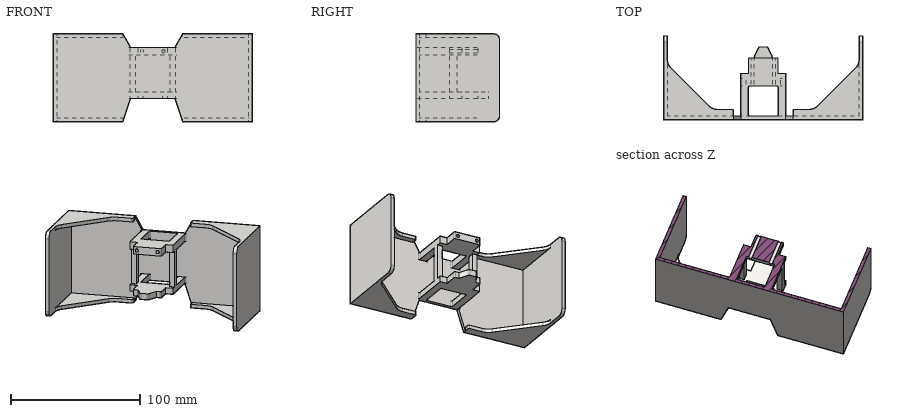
import cadquery as cq

WIDTH = 154.3
DEPTH = 65.0
HEIGHT = 68.4
HALF_WIDTH = WIDTH / 2
TOP = HEIGHT / 2
BOTTOM = -TOP

WALL = 3.0
PANEL_CORNER_RADIUS = 5.0

NOTCH_OUTER_HALF = 23.1
NOTCH_INNER_HALF = 17.1
TOP_NOTCH_DEPTH = 10.6
BOTTOM_NOTCH_DEPTH = 18.0
WAIST_TOP = TOP - TOP_NOTCH_DEPTH
WAIST_BOTTOM = BOTTOM + BOTTOM_NOTCH_DEPTH

GUSSET_THICKNESS = 3.0
GUSSET_LEDGE = 8.0
GUSSET_LEG = 45.8
BEND_RADIUS = 10.0

UPPER_FRAME_THICKNESS = 6.0
LOWER_FRAME_THICKNESS = 5.0
FRAME_HALF_WIDTH = 17.5
FRAME_DEPTH = 36.0
WINDOW_WIDTH = 22.8
WINDOW_DEPTH = 23.1
WINDOW_FRONT = WALL
WINDOW_BACK = WINDOW_FRONT + WINDOW_DEPTH
TONGUE_HALF_WIDTH = WINDOW_WIDTH / 2
TONGUE_END = 48.0
SMALL_RADIUS = 1.0

POST_WIDTH = 4.0
POST_DEPTH = 5.9

TIP_BASE_HALF = 7.4
TIP_END_HALF = 3.4
TIP_END = 56.5
TIP_RADIUS = 1.5

HOLE_DIAMETER = 2.5
HOLE_OFFSET = 8.3


def box(x0, x1, y0, y1, z0, z1):
    """Axis-aligned block between two opposite corners."""
    return cq.Workplane("XY").box(x1 - x0, y1 - y0, z1 - z0, centered=False).translate((x0, y0, z0))


def mirrored(solid):
    """A left-hand feature together with its right-hand twin."""
    return solid.union(solid.mirror("YZ"))


def front_wall():
    right_half = [
        (NOTCH_INNER_HALF, WAIST_TOP),
        (NOTCH_OUTER_HALF, TOP),
        (HALF_WIDTH, TOP),
        (HALF_WIDTH, BOTTOM),
        (NOTCH_OUTER_HALF, BOTTOM),
        (NOTCH_INNER_HALF, WAIST_BOTTOM),
    ]
    left_half = [(-x, z) for x, z in reversed(right_half)]
    return cq.Workplane("XZ").polyline(right_half + left_half).close().extrude(-WALL)


def side_panel():
    panel = box(-HALF_WIDTH, WALL - HALF_WIDTH, 0, DEPTH, BOTTOM, TOP)
    return panel.edges("|X and >Y").fillet(PANEL_CORNER_RADIUS)


def gusset(z_base):
    """Corner plate whose free edge runs at 45 degrees between two rounded bends."""
    side_bend = (WALL, GUSSET_LEG - WALL)
    side_run_end = side_bend[1] + BEND_RADIUS
    ledge_bend = (GUSSET_LEG - GUSSET_LEDGE, GUSSET_LEDGE)
    ledge_end = (HALF_WIDTH - NOTCH_OUTER_HALF, GUSSET_LEDGE)
    outline = [
        (0, 0),
        (0, side_run_end),
        (WALL, side_run_end),
        side_bend,
        ledge_bend,
        ledge_end,
        (ledge_end[0], 0),
    ]
    plate = cq.Workplane("XY").polyline(outline).close().extrude(GUSSET_THICKNESS)
    for bend in (side_bend, ledge_bend):
        plate = plate.edges(vertical_edge_at(bend)).fillet(BEND_RADIUS)
    plate = plate.edges(vertical_edge_at(ledge_end)).fillet(SMALL_RADIUS)
    return plate.translate((-HALF_WIDTH, 0, z_base))


def vertical_edge_at(point):
    """Selector for the upright edge that passes through an (x, y) point."""
    reach = 0.02
    x, y = point
    return cq.selectors.BoxSelector(
        (x - reach, y - reach, -HEIGHT), (x + reach, y + reach, HEIGHT)
    )


def root_fillet(z_base, z_top):
    """Rounded filler in the corner between the wall and the left side of a frame."""
    side_x = -FRAME_HALF_WIDTH
    outer_x = side_x - SMALL_RADIUS
    outer_y = WALL + SMALL_RADIUS
    filler = box(outer_x, side_x, WALL, outer_y, z_base, z_top)
    rounding = cq.Workplane("XY").center(outer_x, outer_y).circle(SMALL_RADIUS).extrude(z_top - z_base)
    return filler.cut(rounding.translate((0, 0, z_base)))


def frame(z_base, thickness):
    """Plate with a rectangular window and a narrower tongue at the back."""
    z_top = z_base + thickness
    body = box(-FRAME_HALF_WIDTH, FRAME_HALF_WIDTH, 0, FRAME_DEPTH, z_base, z_top)
    tongue = box(-TONGUE_HALF_WIDTH, TONGUE_HALF_WIDTH, WINDOW_BACK, TONGUE_END, z_base, z_top)
    tongue = tongue.edges("|Z and >Y").fillet(SMALL_RADIUS)
    window = box(-TONGUE_HALF_WIDTH, TONGUE_HALF_WIDTH, WINDOW_FRONT, WINDOW_BACK, z_base, z_top)
    window = window.edges("|Z").fillet(SMALL_RADIUS)
    body = body.union(mirrored(root_fillet(z_base, z_top)))
    return body.union(tongue).cut(window)


def post():
    """Upright at the rear left corner of the window."""
    inner_x = POST_WIDTH - FRAME_HALF_WIDTH
    return box(-FRAME_HALF_WIDTH, inner_x, WINDOW_BACK, WINDOW_BACK + POST_DEPTH, WAIST_BOTTOM, WAIST_TOP)


def tip():
    outline = [
        (-TIP_BASE_HALF, TONGUE_END),
        (-TIP_END_HALF, TIP_END),
        (TIP_END_HALF, TIP_END),
        (TIP_BASE_HALF, TONGUE_END),
    ]
    solid = cq.Workplane("XY").polyline(outline).close().extrude(LOWER_FRAME_THICKNESS)
    return solid.edges("|Z and >Y").fillet(TIP_RADIUS).translate((0, 0, WAIST_BOTTOM))


def rear_hole():
    """Hole along Y from the window through the end of the tongue."""
    z_middle = WAIST_TOP - UPPER_FRAME_THICKNESS / 2
    drill = cq.Workplane("XZ").circle(HOLE_DIAMETER / 2).extrude(WINDOW_BACK - TONGUE_END)
    return drill.translate((-HOLE_OFFSET, WINDOW_BACK, z_middle))


result = front_wall()
result = result.union(mirrored(side_panel()))
for gusset_base in (BOTTOM, TOP - GUSSET_THICKNESS):
    result = result.union(mirrored(gusset(gusset_base)))
result = result.union(frame(WAIST_BOTTOM, LOWER_FRAME_THICKNESS))
result = result.union(frame(WAIST_TOP - UPPER_FRAME_THICKNESS, UPPER_FRAME_THICKNESS))
result = result.union(mirrored(post())).union(tip())
result = result.cut(mirrored(rear_hole()))